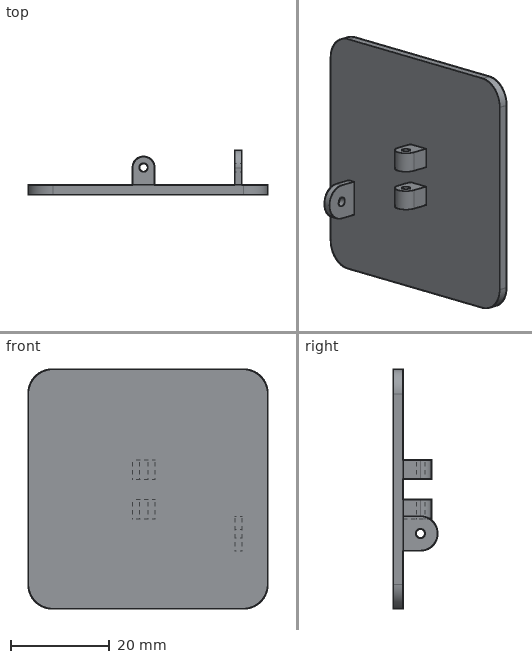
import cadquery as cq

PLATE_SIZE = 48.5
PLATE_THICKNESS = 2.0
CORNER_RADIUS = 5.0

HOLE_Y = 5.5

HINGE_X = -0.9
HINGE_RADIUS = 2.25
HINGE_HOLE_DIAMETER = 1.65
HINGE_LUG_LENGTH = 3.9
HINGE_GAP = 4.1
HINGE_MID_Z = -0.05

SIDE_LUG_X = 18.25
SIDE_LUG_Z = -9.0
SIDE_LUG_RADIUS = 3.5
SIDE_LUG_THICKNESS = 1.5
SIDE_HOLE_DIAMETER = 1.8


def make_plate():
    """Square plate with rounded corners."""
    return (
        cq.Workplane("XY")
        .box(PLATE_SIZE, PLATE_THICKNESS, PLATE_SIZE, centered=(True, False, True))
        .edges("|Y")
        .fillet(CORNER_RADIUS)
    )


def make_lug(radius, hole_diameter, thickness):
    """Round-ended lug with its hole along Z, centred on X = 0 and Z = 0."""
    root_y = PLATE_THICKNESS / 2
    return (
        cq.Workplane("XY")
        .moveTo(-radius, root_y)
        .lineTo(-radius, HOLE_Y)
        .threePointArc((0, HOLE_Y + radius), (radius, HOLE_Y))
        .lineTo(radius, root_y)
        .close()
        .moveTo(0, HOLE_Y)
        .circle(hole_diameter / 2)
        .extrude(thickness / 2, both=True)
    )


def make_hinge_lugs():
    """Two equal lugs, one on each side of the hinge gap."""
    lug = make_lug(HINGE_RADIUS, HINGE_HOLE_DIAMETER, HINGE_LUG_LENGTH)
    offset = (HINGE_GAP + HINGE_LUG_LENGTH) / 2
    upper = lug.translate((HINGE_X, 0, HINGE_MID_Z + offset))
    lower = lug.translate((HINGE_X, 0, HINGE_MID_Z - offset))
    return upper.union(lower)


def make_side_lug():
    """Lug turned about Y so that its hole runs along X."""
    lug = make_lug(SIDE_LUG_RADIUS, SIDE_HOLE_DIAMETER, SIDE_LUG_THICKNESS)
    return lug.rotate((0, 0, 0), (0, 1, 0), 90).translate((SIDE_LUG_X, 0, SIDE_LUG_Z))


result = make_plate().union(make_hinge_lugs()).union(make_side_lug())